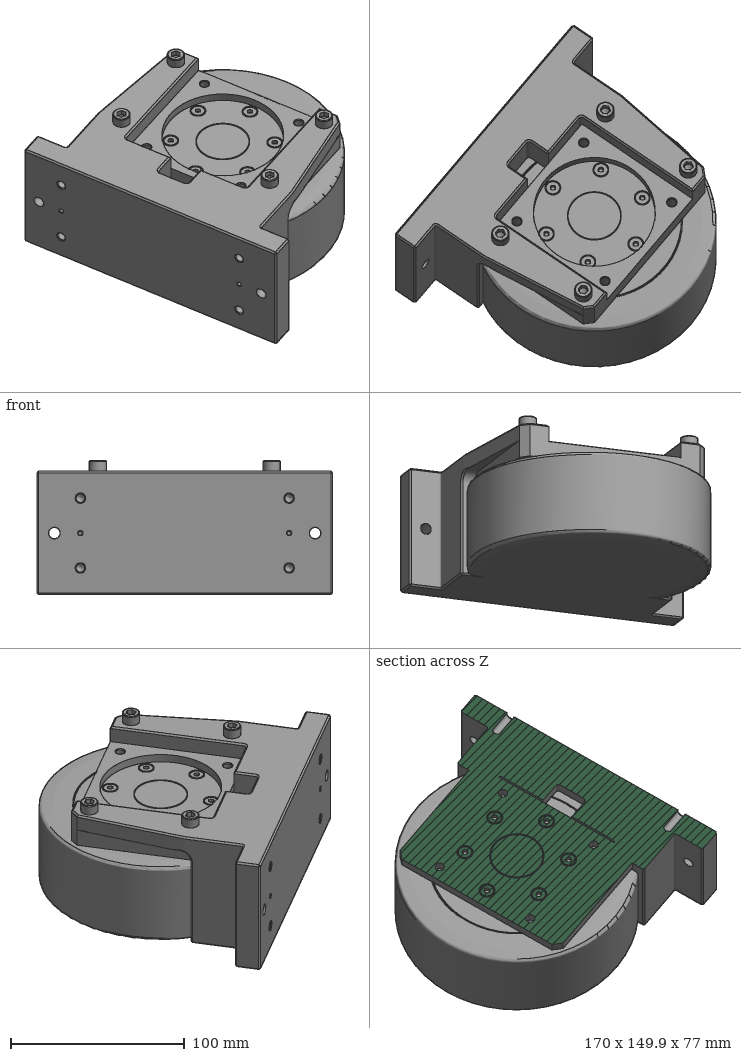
import cadquery as cq
import math


foot_length = 170.0
foot_thickness = 15.0
front_y = -79.9
mount_height = 71.0
block_half_width = 65.6
taper_start_y = -30.0
arm_end_half_width = 52.7
arm_end_y = 40.0
arm_corner_cut = 4.6
edge_chamfer = 1.0
foot_corner_radius = 1.0

arm_underside_z = 61.2
clearance_wall_y = -34.0
clearance_radius = 7.0

pocket_half_width = 40.8
pocket_corner_radius = 2.0
notch_half_width = 10.0
notch_end_y = -55.2
notch_corner_radius = 2.0

wheel_radius = 70.0
wheel_height = 50.0
wheel_flat_radius = 62.0
wheel_rim_drop = 0.5
wheel_rim_radius = 1.9
groove_diameter = 100.0
groove_width = 0.7
groove_depth = 1.0

plate_underside_z = 51.0
hub_diameter = 70.0
recess_diameter = 70.0
recess_depth = 5.0
boss_diameter = 31.0
boss_gap = 0.3
fine_gap_depth = 0.3

screw_count = 6
screw_circle_radius = 30.0
screw_bore_diameter = 9.0
screw_head_diameter = 8.0
screw_socket_diameter = 3.0
screw_socket_depth = 2.0

cap_x = 50.0
cap_y = 30.0
cap_diameter = 10.0
cap_chamfer = 0.5
cap_height = 6.0
socket_across_flats = 5.0
socket_depth = 3.0

tap_mouth_diameter = 6.0
tap_bore_diameter = 5.0
tap_depth = 15.0
small_tap_mouth_diameter = 3.0
small_tap_bore_diameter = 2.4
small_tap_depth = 8.0
drill_point_angle = 118.0
plate_hole_offset = 31.8
front_hole_x = 60.0
front_hole_z = 35.4
front_hole_rise = 20.0
bolt_hole_x = 75.0
bolt_hole_diameter = 6.5

beyond = 2 * foot_length

arm_corner_half_width = arm_end_half_width + arm_corner_cut
arm_corner_y = arm_end_y - arm_corner_cut
foot_back_y = front_y + foot_thickness


def box(x_range, y_range, z_range):
    """Axis-aligned box from its limits."""
    size = [high - low for low, high in (x_range, y_range, z_range)]
    corner = (x_range[0], y_range[0], z_range[0])
    return cq.Workplane("XY").box(*size, centered=False).translate(corner)


def cylinder(diameter, z_low, z_high, x=0, y=0):
    """Vertical cylinder between two heights."""
    base = cq.Workplane("XY", origin=(x, y, z_low))
    return base.circle(diameter / 2).extrude(z_high - z_low)


def ring(outer_diameter, inner_diameter, z_low, z_high, x=0, y=0):
    """Vertical tube, used to cut ring grooves."""
    base = cq.Workplane("XY", origin=(x, y, z_low))
    profile = base.circle(outer_diameter / 2).circle(inner_diameter / 2)
    return profile.extrude(z_high - z_low)


def drill_point_height(radius):
    """Height of the cone left by a drill of the given radius."""
    return radius / math.tan(math.radians(drill_point_angle / 2))


def drill(mouth_diameter, bore_diameter, depth, pointed=True):
    """Countersunk bore going down from the origin, with an optional drill point."""
    mouth = mouth_diameter / 2
    bore = bore_diameter / 2
    point = drill_point_height(bore) if pointed else 0
    profile = cq.Workplane("XZ").moveTo(0, 0).lineTo(mouth, 0)
    profile = profile.lineTo(bore, bore - mouth).lineTo(bore, -depth)
    profile = profile.lineTo(0, -depth - point).close()
    return profile.revolve(360, (0, 0, 0), (0, 1, 0))


def make_mount():
    """Foot, block and arms, with the clearance, pocket and notch cut out."""
    right_side = [
        (foot_length / 2, front_y),
        (foot_length / 2, foot_back_y),
        (block_half_width, foot_back_y),
        (block_half_width, taper_start_y),
        (arm_corner_half_width, arm_corner_y),
        (arm_end_half_width, arm_end_y),
    ]
    left_side = [(-x, y) for x, y in reversed(right_side)]
    mount = cq.Workplane("XY").polyline(right_side + left_side).close().extrude(mount_height)
    for side in (-1, 1):
        inner_corner = (side * block_half_width, foot_back_y, mount_height / 2)
        mount = mount.edges(cq.NearestToPointSelector(inner_corner)).fillet(foot_corner_radius)

    clearance = box((-beyond, beyond), (clearance_wall_y, beyond), (-beyond, arm_underside_z))
    clearance = clearance.edges("|X and >Z and <Y").fillet(clearance_radius)
    mount = mount.cut(clearance)

    pocket = box(
        (-pocket_half_width, pocket_half_width),
        (-pocket_half_width, beyond),
        (wheel_height, beyond),
    )
    notch = box(
        (-notch_half_width, notch_half_width),
        (notch_end_y, 0),
        (wheel_height, beyond),
    )
    pocket = pocket.edges("|Z and <Y").fillet(pocket_corner_radius)
    notch = notch.edges("|Z and <Y").fillet(notch_corner_radius)
    mount = mount.cut(pocket).cut(notch)

    return chamfer_mount(mount)


def chamfer_mount(mount):
    """Chamfers the outer edges, the pocket rim and the mouths of the clearance."""
    edges = mount.faces(">Z or <Z or <Y").edges()
    for side in (-1, 1):
        foot_corner = (side * foot_length / 2, foot_back_y, mount_height / 2)
        edges = edges.add(mount.edges(cq.NearestToPointSelector(foot_corner)))
    mount = edges.chamfer(edge_chamfer)

    clearance_bevel = make_clearance_bevel()
    return mount.cut(clearance_bevel).cut(clearance_bevel.mirror("YZ"))


def make_clearance_bevel():
    """Bevelled mouth of the clearance on the +X side of the block."""
    wall_y = clearance_wall_y - edge_chamfer
    top_z = arm_underside_z + edge_chamfer
    profile = box((0, edge_chamfer), (wall_y, beyond), (-beyond, top_z))
    profile = profile.edges("|X and >Z and <Y").fillet(clearance_radius + edge_chamfer)
    mouth = profile.faces(">X").wires().toPending().workplane()
    bevel = mouth.extrude(-edge_chamfer, taper=45, combine=False)
    return bevel.translate((block_half_width - edge_chamfer, 0, 0))


def make_plate():
    """Plate with the round recess, flush screws and four tapped holes."""
    plate = box(
        (-arm_corner_half_width, arm_corner_half_width),
        (-arm_end_y, arm_end_y),
        (plate_underside_z, arm_underside_z),
    )
    plate = plate.edges("|Z and >Y").chamfer(arm_corner_cut)

    recess_floor_z = arm_underside_z - recess_depth
    gap_floor_z = recess_floor_z - fine_gap_depth
    plate = plate.cut(cylinder(recess_diameter, recess_floor_z, arm_underside_z))
    plate = plate.cut(ring(boss_diameter, boss_diameter - 2 * boss_gap, gap_floor_z, recess_floor_z))

    for i in range(screw_count):
        angle = math.radians(90 + i * 360 / screw_count)
        x = screw_circle_radius * math.cos(angle)
        y = screw_circle_radius * math.sin(angle)
        plate = plate.cut(ring(screw_bore_diameter, screw_head_diameter, gap_floor_z, recess_floor_z, x, y))
        socket_floor_z = recess_floor_z - screw_socket_depth
        plate = plate.cut(cylinder(screw_socket_diameter, socket_floor_z, recess_floor_z, x, y))

    plate_thickness = arm_underside_z - plate_underside_z
    tapped_hole = drill(tap_mouth_diameter, tap_bore_diameter, plate_thickness, pointed=False)
    for x in (-plate_hole_offset, plate_hole_offset):
        for y in (-plate_hole_offset, plate_hole_offset):
            plate = plate.cut(tapped_hole.translate((x, y, arm_underside_z)))
    return plate


def make_wheel():
    """Solid wheel with slightly conical rim faces and rounded edges."""
    shoulder_radius = wheel_radius - wheel_rim_radius
    shoulder_z = wheel_height - wheel_rim_drop
    bend = wheel_rim_radius * math.sqrt(0.5)
    arc_radius = shoulder_radius + bend
    upper_arc_z = shoulder_z - wheel_rim_radius
    lower_arc_z = wheel_rim_drop + wheel_rim_radius
    profile = cq.Workplane("XZ").moveTo(0, 0).lineTo(wheel_flat_radius, 0)
    profile = profile.lineTo(shoulder_radius, wheel_rim_drop)
    profile = profile.threePointArc((arc_radius, lower_arc_z - bend), (wheel_radius, lower_arc_z))
    profile = profile.lineTo(wheel_radius, upper_arc_z)
    profile = profile.threePointArc((arc_radius, upper_arc_z + bend), (shoulder_radius, shoulder_z))
    profile = profile.lineTo(wheel_flat_radius, wheel_height).lineTo(0, wheel_height).close()
    return profile.revolve(360, (0, 0, 0), (0, 1, 0))


def make_cap_screw():
    """Socket head screw head standing on the arm surface."""
    head = cylinder(cap_diameter, 0, cap_height).faces(">Z").edges().chamfer(cap_chamfer)
    across_corners = socket_across_flats / math.cos(math.radians(30))
    socket = cq.Workplane("XY", origin=(0, 0, cap_height)).polygon(6, across_corners).extrude(-socket_depth)
    point_height = drill_point_height(socket_across_flats / 2)
    point = cq.Workplane(cq.Solid.makeCone(0, socket_across_flats / 2, point_height))
    return head.cut(socket).cut(point.translate((0, 0, cap_height - socket_depth - point_height)))


def drill_front(body):
    """Holes in the foot face, bored along +Y."""
    tapped_hole = drill(tap_mouth_diameter, tap_bore_diameter, tap_depth)
    small_hole = drill(small_tap_mouth_diameter, small_tap_bore_diameter, small_tap_depth)
    bolt_hole = cylinder(bolt_hole_diameter, -2 * foot_thickness, 0)
    for side in (-1, 1):
        for tool, x, rise in (
            (tapped_hole, front_hole_x, front_hole_rise),
            (tapped_hole, front_hole_x, -front_hole_rise),
            (small_hole, front_hole_x, 0),
            (bolt_hole, bolt_hole_x, 0),
        ):
            bore = tool.rotate((0, 0, 0), (1, 0, 0), 90)
            body = body.cut(bore.translate((side * x, front_y, front_hole_z + rise)))
    return body


result = make_mount().union(make_plate()).union(make_wheel())
result = result.union(cylinder(hub_diameter, wheel_height, plate_underside_z))

groove_outer_diameter = groove_diameter + 2 * groove_width
groove_floor_z = wheel_height - groove_depth
result = result.cut(ring(groove_outer_diameter, groove_diameter, groove_floor_z, wheel_height))

cap_screw = make_cap_screw()
for x in (-cap_x, cap_x):
    for y in (-cap_y, cap_y):
        result = result.union(cap_screw.translate((x, y, mount_height)))

result = drill_front(result)